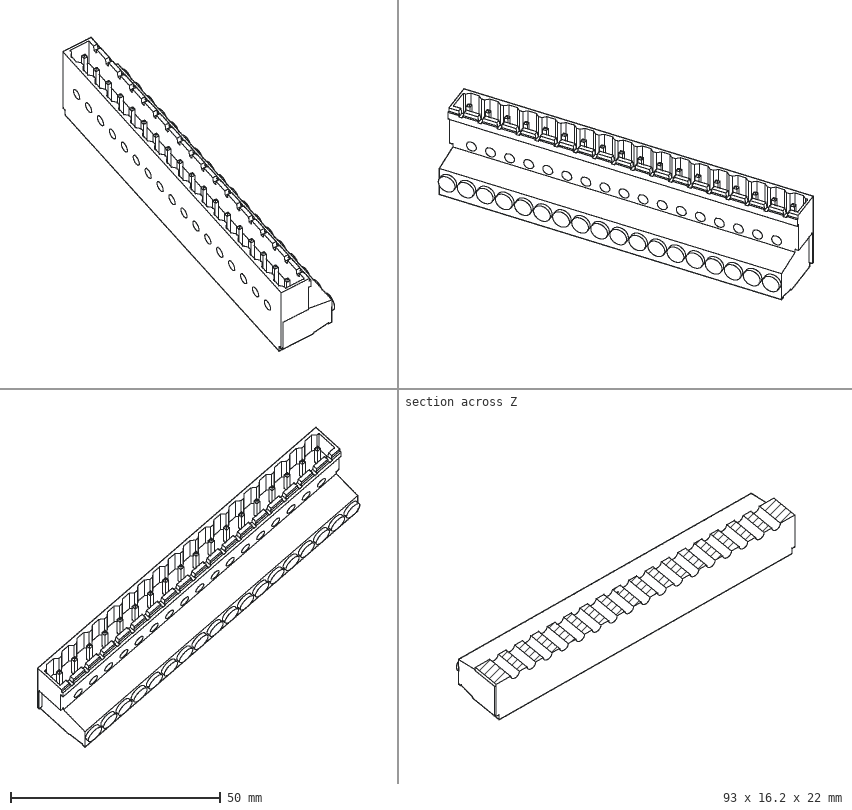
import cadquery as cq

LENGTH = 93.05
HEIGHT = 22.0
POLES = 18
POLE_SPAN = 86.35
PITCH = POLE_SPAN / (POLES - 1)

BODY_INSET = 0.9
BODY_LENGTH = LENGTH - 2 * BODY_INSET
BODY_BACK = 15.3
SLOPE_TOP_FRONT = 10.1
SLOPE_TOP_BACK = 8.8
FOOT_BACK = 9.9
SLOPE_BOTTOM_FRONT = (10.1, 0.4)
SLOPE_BOTTOM_BACK = (14.3, 1.2)
LIP_BOTTOM = 0.8

HEADER_BOTTOM = 11.0
HEADER_BACK = 7.9
RIM_BACK = 8.2
SKIRT_THICKNESS = 0.6
SKIRT_BOTTOM = 1.7
LATCH_BACK = 8.7
LATCH_BOTTOM = 18.9
LATCH_TOP = 20.9

END_WALL = 0.65
CAVITY_FLOOR = 14.0
CAVITY_BACK = 7.1
CAVITY_FRONT = 1.7
SCALLOP_FRONT = 0.8
SCALLOP_FLOOR_WIDTH = 2.2
SCALLOP_MOUTH_WIDTH = 4.2

NOTCH_TOP_WIDTH = 1.4
NOTCH_FLOOR_WIDTH = 0.8
NOTCH_DEPTH = 1.4
PIN_SIZE = 1.0
PIN_TIP_CHAMFER = 0.4
PIN_TOP = 21.2
PIN_Y = 4.0
HOLE_DIAMETER = 2.6
HOLE_Z = 12.0
SCREW_DIAMETER = 4.5
SCREW_Z = 5.5
SCREW_BACK = 16.2


def row(count):
    """X positions of evenly pitched features centred on the part."""
    return [(i - (count - 1) / 2) * PITCH for i in range(count)]


def block(length, y_min, y_max, z_min, z_max, x=0.0):
    """Box centred on x, given by its Y and Z limits."""
    box = cq.Workplane("XY").box(length, y_max - y_min, z_max - z_min, centered=(True, False, False))
    return box.translate((x, y_min, z_min))


def lower_body():
    """Constant side profile with sloping top and bottom and a lip along its lower back edge."""
    profile = [
        (0, 0),
        (FOOT_BACK, 0),
        SLOPE_BOTTOM_FRONT,
        SLOPE_BOTTOM_BACK,
        (SLOPE_BOTTOM_BACK[0], LIP_BOTTOM),
        (BODY_BACK, LIP_BOTTOM),
        (BODY_BACK, SLOPE_TOP_BACK),
        (HEADER_BACK, SLOPE_TOP_FRONT),
        (HEADER_BACK, HEADER_BOTTOM),
        (0, HEADER_BOTTOM),
    ]
    return cq.Workplane("YZ").polyline(profile).close().extrude(BODY_LENGTH / 2, both=True)


def header():
    """Full-length upper block with its front skirt, back latch ridge and thicker rim."""
    shell = block(LENGTH, 0, HEADER_BACK, HEADER_BOTTOM, HEIGHT)
    skirt = block(LENGTH, 0, SKIRT_THICKNESS, SKIRT_BOTTOM, HEADER_BOTTOM)
    latch = block(LENGTH, HEADER_BACK, LATCH_BACK, LATCH_BOTTOM, LATCH_TOP)
    rim = block(LENGTH, HEADER_BACK, RIM_BACK, LATCH_TOP, HEIGHT)
    return shell.union(skirt).union(latch).union(rim)


def cavity():
    """Open-topped cavity whose front wall has a trapezoidal scallop at every pole."""
    half_length = LENGTH / 2 - END_WALL
    outline = [(half_length, CAVITY_FRONT), (half_length, CAVITY_BACK)]
    outline += [(-half_length, CAVITY_BACK), (-half_length, CAVITY_FRONT)]
    for x in row(POLES):
        outline += [
            (x - SCALLOP_MOUTH_WIDTH / 2, CAVITY_FRONT),
            (x - SCALLOP_FLOOR_WIDTH / 2, SCALLOP_FRONT),
            (x + SCALLOP_FLOOR_WIDTH / 2, SCALLOP_FRONT),
            (x + SCALLOP_MOUTH_WIDTH / 2, CAVITY_FRONT),
        ]
    plan = cq.Workplane("XY").workplane(offset=CAVITY_FLOOR).polyline(outline).close()
    return plan.extrude(HEIGHT - CAVITY_FLOOR)


def rim_notches():
    """Notches through the back rim and the latch top above every pole, narrowing towards their floor."""
    notches = cq.Workplane("XZ", origin=(0, CAVITY_BACK, 0))
    floor_z = HEIGHT - NOTCH_DEPTH
    for x in row(POLES):
        notches = notches.polyline([
            (x - NOTCH_TOP_WIDTH / 2, HEIGHT),
            (x - NOTCH_FLOOR_WIDTH / 2, floor_z),
            (x + NOTCH_FLOOR_WIDTH / 2, floor_z),
            (x + NOTCH_TOP_WIDTH / 2, HEIGHT),
        ]).close()
    return notches.extrude(CAVITY_BACK - LATCH_BACK)


def pins():
    """Square contact pins with chamfered tips, standing up through the cavity."""
    pin = block(PIN_SIZE, -PIN_SIZE / 2, PIN_SIZE / 2, HEADER_BOTTOM, PIN_TOP)
    pin = pin.faces(">Z").chamfer(PIN_TIP_CHAMFER)
    places = [(x, PIN_Y) for x in row(POLES)]
    return cq.Workplane("XY").pushPoints(places).eachpoint(lambda place: pin.val().moved(place))


def test_holes():
    """Holes through the part from front to back, one between each pair of poles."""
    places = [(x, HOLE_Z) for x in row(POLES - 1)]
    return cq.Workplane("XZ").pushPoints(places).circle(HOLE_DIAMETER / 2).extrude(-BODY_BACK)


def screw_heads():
    """Round screw heads standing out of the back of the body, one at every pole."""
    places = [(x, SCREW_Z) for x in row(POLES)]
    heads = cq.Workplane("XZ", origin=(0, BODY_BACK, 0)).pushPoints(places)
    return heads.circle(SCREW_DIAMETER / 2).extrude(BODY_BACK - SCREW_BACK)


result = lower_body().union(header()).cut(cavity()).cut(rim_notches()).union(pins())
result = result.cut(test_holes()).union(screw_heads())